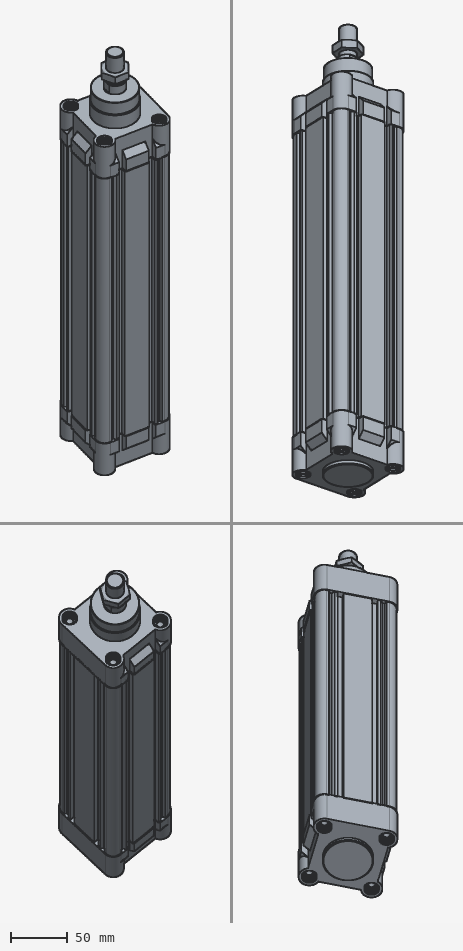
import cadquery as cq
import math

total_height = 444.0
foot_height = 4.0
cap_height = 36.0
front_cap_top = 375.0
collar_top = 403.5
shoulder_top = 413.0
nut_bottom = 418.2
nut_height = 8.0
rear_cap_top = foot_height + cap_height
front_cap_bottom = front_cap_top - cap_height

width = 75.5
half_width = width / 2
boss_spacing = 56.5
boss_center = boss_spacing / 2
boss_radius = half_width - boss_center
panel_distance = 31.5
panel_depth = half_width - panel_distance
lug_width = 23.5
lug_height = 13.8
pad_inner_edge = 19.0

head_diameter = 13.5
head_depth = 1.8
seat_diameter = 12.0
seat_depth = 3.5
socket_diameter = 9.8
socket_depth = 5.5
drill_diameter = 6.5
drill_depth = 7.0
drill_point_depth = 1.8

barrel_half_width = 37.0
corner_radius = 8.5
slot_floor = 32.5
slot_inner_edge = 13.0
slot_outer_edge = 18.0
groove_depth = 2.0
groove_inner_edge = 21.0
groove_outer_edge = 26.0
groove_lip = 1.5

spigot_diameter = 45.0
collar_step = 390.5
neck_diameter = 43.0
foot_chamfer = 1.0
collar_chamfer = 1.0
neck_chamfer = 0.5

rod_diameter = 20.0
rod_flats = 17.8
rod_bottom = front_cap_bottom
thread_diameter = 16.0
thread_end_diameter = 14.0
thread_chamfer = (thread_diameter - thread_end_diameter) / 2
nut_flats = 24.0
nut_face_diameter = 24.0
nut_chamfer_height = 0.5
nut_turn = 30


def cylinder(diameter, bottom, top):
    return cq.Workplane("XY").workplane(offset=bottom).circle(diameter / 2).extrude(top - bottom)


def box(x_min, x_max, y_min, y_max, height):
    return cq.Workplane("XY").box(
        x_max - x_min, y_max - y_min, height, centered=False
    ).translate((x_min, y_min, 0))


def raised_block(x_min, x_max):
    """Block on the -Y panel with a 45 degree slope at its upper end; it starts at z = 0."""
    profile = [
        (-half_width, 0),
        (-half_width, lug_height),
        (-panel_distance, lug_height + panel_depth),
        (-boss_center, lug_height + panel_depth),
        (-boss_center, 0),
    ]
    return (
        cq.Workplane("YZ").workplane(offset=x_min).polyline(profile).close().extrude(x_max - x_min)
    )


def make_cap():
    """End cap whose barrel side is at z = 0. The +Y side is flush with the corner bosses."""
    cap = box(-panel_distance, panel_distance, -panel_distance, panel_distance, cap_height)
    cap = cap.union(box(-boss_center, boss_center, 0, half_width, cap_height))
    bosses = (
        cq.Workplane("XY").rect(boss_spacing, boss_spacing, forConstruction=True)
        .vertices().circle(boss_radius).extrude(cap_height)
    )
    cap = cap.union(bosses)
    blocks = (
        raised_block(-lug_width / 2, lug_width / 2)
        .union(raised_block(-boss_center, -pad_inner_edge))
        .union(raised_block(pad_inner_edge, boss_center))
    )
    for angle in (-90, 0, 90):
        cap = cap.union(blocks.rotate((0, 0, 0), (0, 0, 1), angle))
    return cap.cut(make_screw_holes())


def make_screw_holes():
    """Cutters for the screw holes in the outer end of a cap."""
    profile = [
        (0, 0),
        (head_diameter / 2, 0),
        (head_diameter / 2, -head_depth),
        (seat_diameter / 2, -head_depth),
        (seat_diameter / 2, -seat_depth),
        (socket_diameter / 2, -seat_depth),
        (socket_diameter / 2, -socket_depth),
        (drill_diameter / 2, -socket_depth),
        (drill_diameter / 2, -drill_depth),
        (0, -drill_depth - drill_point_depth),
    ]
    cutter = cq.Workplane("XZ").polyline(profile).close().revolve(360, (0, 0, 0), (0, 1, 0)).val()
    places = cq.Workplane("XY").workplane(offset=cap_height).rect(
        boss_spacing, boss_spacing, forConstruction=True
    ).vertices()
    return places.eachpoint(lambda place: cutter.moved(place), combine="a")


def make_barrel():
    """Extruded barrel with two wide slots and two narrow grooves along each side."""
    length = front_cap_bottom - rear_cap_top
    side = 2 * barrel_half_width
    barrel = cq.Workplane("XY").rect(side, side).extrude(length)
    barrel = barrel.edges("|Z").fillet(corner_radius)
    groove_floor = barrel_half_width - groove_depth
    groove = [
        (groove_inner_edge, -barrel_half_width),
        (groove_inner_edge + groove_depth, -groove_floor),
        (groove_outer_edge - groove_lip, -groove_floor),
        (groove_outer_edge, -barrel_half_width),
    ]
    slot = box(slot_inner_edge, slot_outer_edge, -barrel_half_width, -slot_floor, length)
    cuts = slot.union(cq.Workplane("XY").polyline(groove).close().extrude(length))
    cuts = cuts.union(cuts.mirror("YZ"))
    for angle in (0, 90, 180, 270):
        barrel = barrel.cut(cuts.rotate((0, 0, 0), (0, 0, 1), angle))
    return barrel.translate((0, 0, rear_cap_top))


def make_housing():
    cap = make_cap()
    front_cap = cap.translate((0, 0, front_cap_bottom))
    rear_cap = cap.mirror("XY").translate((0, 0, rear_cap_top))
    collar = cylinder(spigot_diameter, front_cap_top, collar_step).faces(">Z").chamfer(collar_chamfer)
    neck = cylinder(neck_diameter, collar_step, collar_top).faces(">Z").chamfer(neck_chamfer)
    foot = cylinder(spigot_diameter, 0, foot_height).faces("<Z").chamfer(foot_chamfer)
    housing = make_barrel().union(front_cap).union(rear_cap).union(collar).union(neck).union(foot)
    return housing.cut(cylinder(rod_diameter, rod_bottom, collar_top))


def make_rod():
    rod = cylinder(rod_diameter, rod_bottom, shoulder_top)
    flats = cq.Workplane("XY").workplane(offset=collar_top).rect(rod_diameter, rod_diameter).rect(
        rod_diameter, rod_flats
    ).extrude(shoulder_top - collar_top)
    thread = cylinder(thread_diameter, shoulder_top, total_height).faces(">Z").chamfer(thread_chamfer)
    return rod.cut(flats).union(thread)


def make_nut():
    corner_diameter = nut_flats / math.cos(math.radians(30))
    nut = cq.Workplane("XY").polygon(6, corner_diameter).circle(thread_diameter / 2).extrude(nut_height)
    face_radius = nut_face_diameter / 2
    base_radius = corner_diameter / 2
    profile = [
        (0, 0),
        (face_radius, 0),
        (base_radius, nut_chamfer_height),
        (base_radius, nut_height - nut_chamfer_height),
        (face_radius, nut_height),
        (0, nut_height),
    ]
    envelope = cq.Workplane("XZ").polyline(profile).close().revolve(360, (0, 0, 0), (0, 1, 0))
    nut = nut.intersect(envelope)
    return nut.rotate((0, 0, 0), (0, 0, 1), nut_turn).translate((0, 0, nut_bottom))


housing = make_housing()
rod = make_rod()
nut = make_nut()
result = cq.Compound.makeCompound([housing.val(), rod.val(), nut.val()])